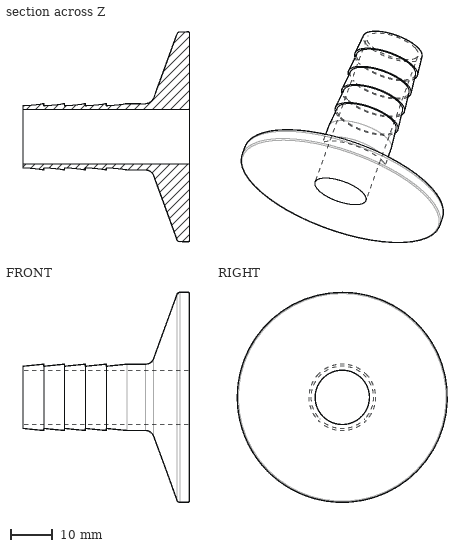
import cadquery as cq
import math

total_length = 40.0
bore_radius = 13.0 / 2

barb_count = 5
barb_pitch = 5.0
barb_root_radius = 15.0 / 2
barb_crest_radius = 16.0 / 2

flange_radius = 50.5 / 2
flange_edge_thickness = 2.85
cone_angle = math.radians(20.0)
neck_fillet = 2.0
rim_fillet = 0.8
face_edge_fillet = 0.3

cone_end_x = total_length - flange_edge_thickness
cone_start_x = cone_end_x - (flange_radius - barb_crest_radius) * math.tan(cone_angle)


def revolved_body():
    """Solid of revolution: barbs, plain neck, cone and flange, without the bore."""
    profile = cq.Workplane("XZ").moveTo(0, 0)
    for index in range(barb_count):
        profile = profile.lineTo(index * barb_pitch, barb_root_radius)
        profile = profile.lineTo((index + 1) * barb_pitch, barb_crest_radius)
    profile = (
        profile.lineTo(cone_start_x, barb_crest_radius)
        .lineTo(cone_end_x, flange_radius)
        .lineTo(total_length, flange_radius)
        .lineTo(total_length, 0)
        .close()
    )
    return profile.revolve(360, (0, 0, 0), (1, 0, 0))


def round_edge(body, x, radius, fillet):
    """Fillet the circular edge that lies at the given X and radius."""
    margin = 0.1
    ring_selector = cq.selectors.BoxSelector(
        (x - margin, -radius, -radius),
        (x + margin, radius, radius),
        boundingbox=False,
    )
    return body.edges("%CIRCLE").edges(ring_selector).fillet(fillet)


def bore():
    """Straight through bore along the axis."""
    return cq.Workplane("YZ").circle(bore_radius).extrude(total_length)


body = revolved_body()
body = round_edge(body, cone_start_x, barb_crest_radius, neck_fillet)
body = round_edge(body, cone_end_x, flange_radius, rim_fillet)
body = round_edge(body, total_length, flange_radius, face_edge_fillet)
result = body.cut(bore())